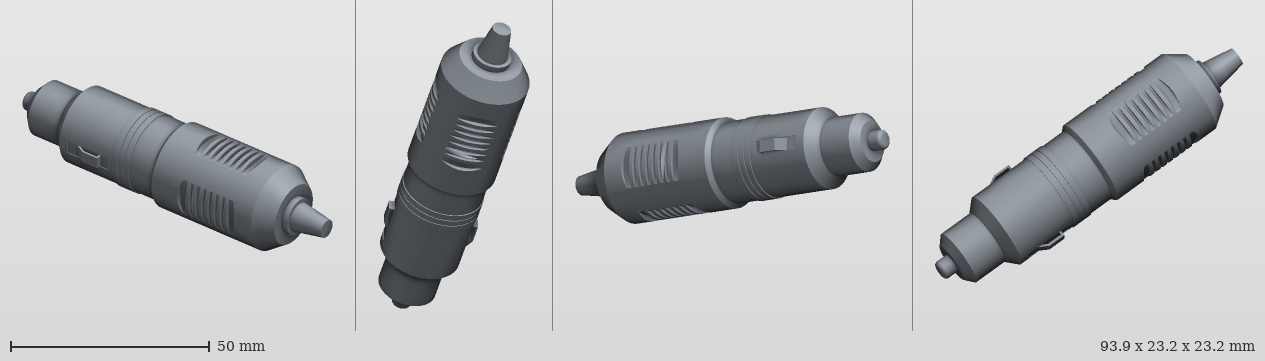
import cadquery as cq
import math


pin_length = 3.9
nose_chamfer_end = 6.0
neck_end = 15.0
shoulder_end = 17.9
band_start = 34.6
band_end = 39.7
grip_taper_start = 46.5
grip_start = 47.6
grip_end = 78.6
housing_end = 83.5
collar_end = 85.2
plug_length = 93.9

pin_radius = 2.5
pin_tip_fillet = 1.0
nose_face_radius = 5.3
neck_radius = 7.5
barrel_radius = 10.4
band_radius = 10.7
grip_radius = 23.2 / 2
housing_end_radius = 8.2
collar_radius = 5.0
sleeve_start_radius = 3.9
sleeve_end_radius = 2.4

band_ring_count = 3
band_groove_width = 0.2

pad_count = 4
pad_center_x = 64.5
pad_floor_radius = 10.3
pad_side_length = 15.6
pad_length = 17.7
rib_count = 7
rib_pitch = 2.0
rib_width = 1.0

slot_start = 20.3
slot_end = 32.9
slot_width = 3.7
slot_floor_radius = 10.05
clip_width = 3.1
clip_thickness = 0.6
clip_ramp_end = 25.9
clip_end = 30.6
clip_outer_radius = grip_radius
clip_ramp_angle = 30.0
side_angles = (0, 180)


def turned(profile):
    """Revolve an (X, radius) outline about the X axis."""
    return cq.Workplane("XZ").polyline(profile).close().revolve(360, (0, 0, 0), (1, 0, 0))


def make_contact_pin():
    pin = cq.Workplane("YZ").circle(pin_radius).extrude(pin_length)
    return pin.faces("<X").edges().fillet(pin_tip_fillet)


def make_housing_blank():
    return turned([
        (pin_length, 0),
        (pin_length, nose_face_radius),
        (nose_chamfer_end, neck_radius),
        (neck_end, neck_radius),
        (shoulder_end, barrel_radius),
        (band_start, barrel_radius),
        (band_start, band_radius),
        (band_end, band_radius),
        (band_end, barrel_radius),
        (grip_taper_start, barrel_radius),
        (grip_start, grip_radius),
        (grip_end, grip_radius),
        (housing_end, housing_end_radius),
        (housing_end, 0),
    ])


def make_band_groove(center_x):
    """Ring of material to remove between two neighbouring band rings."""
    start = center_x - band_groove_width / 2
    end = center_x + band_groove_width / 2
    return turned([
        (start, barrel_radius),
        (start, grip_radius),
        (end, grip_radius),
        (end, barrel_radius),
    ])


def make_pad_cutter():
    """Material to remove for the pad on the +Z side, with gaps left for the ribs."""
    half_width = math.sqrt(grip_radius**2 - pad_floor_radius**2)
    half_side = pad_side_length / 2
    half_length = pad_length / 2
    cutter = (
        cq.Workplane("XY", origin=(pad_center_x, 0, pad_floor_radius))
        .moveTo(-half_side, -half_width)
        .lineTo(half_side, -half_width)
        .threePointArc((half_length, 0), (half_side, half_width))
        .lineTo(-half_side, half_width)
        .threePointArc((-half_length, 0), (-half_side, -half_width))
        .close()
        .extrude(grip_radius - pad_floor_radius)
    )
    ribs = (
        cq.Workplane("XY")
        .rarray(rib_pitch, 0.9, rib_count, 1)
        .rect(rib_width, 2 * grip_radius)
        .extrude(grip_radius)
        .translate((pad_center_x, 0, 0))
    )
    return cutter.cut(ribs)


def make_slot_cutter():
    """Material to remove for the clip slot on the -Y side."""
    return cq.Workplane("XY").box(
        slot_end - slot_start, grip_radius - slot_floor_radius, slot_width, centered=(False, False, True)
    ).translate((slot_start, -grip_radius, 0))


def make_housing():
    housing = make_housing_blank()
    ring_pitch = (band_end - band_start) / band_ring_count
    for index in range(1, band_ring_count):
        housing = housing.cut(make_band_groove(band_start + index * ring_pitch))
    pad_cutter = make_pad_cutter()
    for index in range(pad_count):
        angle = index * 360 / pad_count
        housing = housing.cut(pad_cutter.rotate((0, 0, 0), (1, 0, 0), angle))
    slot_cutter = make_slot_cutter()
    for angle in side_angles:
        housing = housing.cut(slot_cutter.rotate((0, 0, 0), (1, 0, 0), angle))
    return housing


def make_clip(angle):
    """Bent strip with a ramp, a flat top and a leg, turned from the -Y side about X."""
    ramp_slope = math.tan(math.radians(clip_ramp_angle))
    inner_radius = clip_outer_radius - clip_thickness
    ramp_start = clip_ramp_end - (clip_outer_radius - slot_floor_radius) / ramp_slope
    ramp_foot = clip_thickness / math.sin(math.radians(clip_ramp_angle))
    inner_ramp_end = ramp_start + ramp_foot + (inner_radius - slot_floor_radius) / ramp_slope
    leg_inner_x = clip_end - clip_thickness
    clip = (
        cq.Workplane("XY")
        .polyline([
            (ramp_start, -slot_floor_radius),
            (clip_ramp_end, -clip_outer_radius),
            (clip_end, -clip_outer_radius),
            (clip_end, -slot_floor_radius),
            (leg_inner_x, -slot_floor_radius),
            (leg_inner_x, -inner_radius),
            (inner_ramp_end, -inner_radius),
            (ramp_start + ramp_foot, -slot_floor_radius),
        ])
        .close()
        .extrude(clip_width / 2, both=True)
    )
    return clip.rotate((0, 0, 0), (1, 0, 0), angle)


def make_cable_sleeve():
    """Collar and tapered sleeve behind the housing."""
    return turned([
        (housing_end, 0),
        (housing_end, collar_radius),
        (collar_end, collar_radius),
        (collar_end, sleeve_start_radius),
        (plug_length, sleeve_end_radius),
        (plug_length, 0),
    ])


contact_pin = make_contact_pin()
housing = make_housing()
clips = [make_clip(angle) for angle in side_angles]
cable_sleeve = make_cable_sleeve()

result = cq.Compound.makeCompound([
    contact_pin.val(),
    housing.val(),
    *[clip.val() for clip in clips],
    cable_sleeve.val(),
])